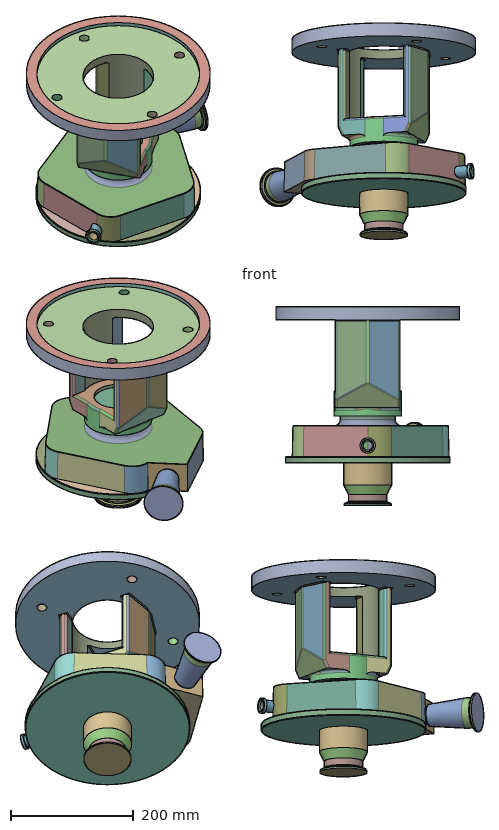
import cadquery as cq
import math

flange_radius = 150.0
flange_top = 324.5
flange_thickness = 21.5
recess_radius = 132.5
recess_depth = 6.5
bore_radius = 57.5
bolt_hole_radius = 8.0
bolt_offset = 80.5

yoke_half_width = 53.0
yoke_half_depth = 75.0
ridge_half_width = 2.5
leg_slant = 15.0
window_half_depth = 49.2
window_bottom = 188.0
yoke_bottom = 160.0
yoke_bottom_half_depth = 55.5
slope_top = 199.0
edge_radius = 3.8
weld_height = 2.0
weld_angle = 45.0

hub_radius = 55.3
hub_bottom = 146.0
hub_cove = 4.5
hub_bore_radius = 39.5
hub_bore_depth = 5.5
neck_radius = 45.0
neck_cove = 10.0

housing_top = 130.5
housing_bottom = 80.0
housing_inradius = 114.8
housing_corner_radius = 33.0
housing_sides = 5
first_corner_angle = 135.0
housing_draft = 1.0
housing_edge_break = 0.8
apex_x = -6.0
base_radius = 134.5
base_bottom = 69.5
base_edge_break = 1.0

suction_radius = 39.5
suction_cone_top = 33.7
suction_cone_bottom = 18.0
suction_end_radius = 31.5
suction_ferrule_radius = 38.5

nozzle_angle = 45.0
nozzle_root = 110.0
nozzle_offset = 91.0
nozzle_height = 104.0
nozzle_inlet_radius = 18.0
nozzle_radius = 25.0
nozzle_ferrule_radius = 32.0
nozzle_cone_start = 118.0
nozzle_throat_radius = 15.0
nozzle_throat_end = 115.0
nozzle_cone_end = 180.7
nozzle_end = 200.5

rim_thickness = 4.0
rim_step = 1.5
ferrule_height = 7.2

port_height = 98.0
port_radius = 10.0
port_bore_radius = 7.5
port_mouth_chamfer = 2.3
port_tip_radius = 12.5
port_tip_length = 5.0
port_end = 150.5

margin = 0.5
corner_reach = 3.8

flange_bottom = flange_top - flange_thickness


def cylinder(radius, bottom, top):
    return cq.Workplane("XY").workplane(offset=bottom).circle(radius).extrude(top - bottom)


def revolve_about_z(profile):
    return profile.close().revolve(360, (0, 0, 0), (0, 1, 0))


def make_flange():
    flange = cylinder(flange_radius, flange_bottom, flange_top)
    flange = flange.cut(cylinder(recess_radius, flange_top - recess_depth, flange_top))
    bolt_holes = (
        cq.Workplane("XY")
        .workplane(offset=flange_bottom)
        .rect(2 * bolt_offset, 2 * bolt_offset, forConstruction=True)
        .vertices()
        .circle(bolt_hole_radius)
        .extrude(flange_thickness)
    )
    return flange.cut(bolt_holes)


def leg_side_depth():
    run = yoke_half_width - ridge_half_width
    return yoke_half_depth - run * math.tan(math.radians(leg_slant))


def yoke_plan(bottom):
    side_depth = leg_side_depth()
    return (
        cq.Workplane("XY")
        .workplane(offset=bottom)
        .moveTo(-yoke_half_width, -side_depth)
        .lineTo(-ridge_half_width, -yoke_half_depth)
        .lineTo(ridge_half_width, -yoke_half_depth)
        .lineTo(yoke_half_width, -side_depth)
        .lineTo(yoke_half_width, side_depth)
        .lineTo(ridge_half_width, yoke_half_depth)
        .lineTo(-ridge_half_width, yoke_half_depth)
        .lineTo(-yoke_half_width, side_depth)
        .close()
    )


def box_selector(half_x, half_y, bottom, top):
    """Select edges centred inside a box about the main axis."""
    return cq.selectors.BoxSelector((-half_x, -half_y, bottom), (half_x, half_y, top))


def make_yoke():
    side_profile = (
        cq.Workplane("YZ")
        .moveTo(-yoke_bottom_half_depth, yoke_bottom)
        .lineTo(yoke_bottom_half_depth, yoke_bottom)
        .lineTo(yoke_half_depth, slope_top)
        .lineTo(yoke_half_depth, flange_bottom)
        .lineTo(-yoke_half_depth, flange_bottom)
        .lineTo(-yoke_half_depth, slope_top)
        .close()
        .extrude(yoke_half_width, both=True)
    )
    yoke = yoke_plan(yoke_bottom).extrude(flange_bottom - yoke_bottom).intersect(side_profile)

    between_ends = box_selector(
        2 * yoke_half_width, 2 * yoke_half_depth, yoke_bottom + margin, flange_bottom - margin
    )
    creases = yoke.faces("#X and (not |Y) and (not |Z)").edges(between_ends)
    yoke = yoke.faces("<X or >X").edges(between_ends).add(creases).fillet(edge_radius)

    window = (
        cq.Workplane("XY")
        .workplane(offset=window_bottom)
        .rect(2 * yoke_half_width, 2 * window_half_depth)
        .extrude(flange_bottom - window_bottom)
    )
    window_rim = box_selector(
        2 * yoke_half_width, window_half_depth + margin, window_bottom - margin, flange_bottom - margin
    )
    return yoke.cut(window).faces("<X or >X").edges(window_rim).fillet(edge_radius)


def make_leg_welds():
    """Bevelled weld around the leg tops, flush with the yoke's outer block."""
    weld_bottom = flange_bottom - weld_height
    flared_plan = yoke_plan(weld_bottom).extrude(weld_height, taper=-weld_angle)
    block = cq.Workplane("XY").box(2 * yoke_half_width, 2 * yoke_half_depth, 2 * flange_top)
    window = (
        cq.Workplane("XY")
        .workplane(offset=weld_bottom)
        .rect(4 * yoke_half_width, 2 * window_half_depth)
        .extrude(weld_height, taper=weld_angle)
    )
    return flared_plan.intersect(block).cut(window)


def make_hub():
    return cylinder(hub_radius, hub_bottom, window_bottom).faces(">Z").edges().fillet(edge_radius)


def make_bracket():
    bracket = make_yoke().union(make_hub())
    hub_joint = box_selector(hub_radius, hub_radius, yoke_bottom - margin, yoke_bottom + margin)
    return bracket.edges("%CIRCLE").edges(hub_joint).fillet(hub_cove)


def make_neck():
    return revolve_about_z(
        cq.Workplane("XZ")
        .moveTo(0, housing_top)
        .lineTo(neck_radius + neck_cove, housing_top)
        .radiusArc((neck_radius, housing_top + neck_cove), neck_cove)
        .lineTo(neck_radius, hub_bottom)
        .lineTo(0, hub_bottom)
    )


def make_housing():
    corner_distance = housing_inradius / math.cos(math.pi / housing_sides)
    corners = []
    for index in range(housing_sides):
        angle = math.radians(first_corner_angle + 360 / housing_sides * index)
        corners.append((corner_distance * math.cos(angle), corner_distance * math.sin(angle)))

    face_sum = housing_inradius * math.sqrt(2)
    side_normal = math.radians(first_corner_angle - 180 / housing_sides)
    inner_y = (housing_inradius - face_sum * math.cos(side_normal)) / (
        math.sin(side_normal) - math.cos(side_normal)
    )
    inner_corner = (face_sum - inner_y, inner_y)
    apex = (apex_x, face_sum - apex_x)

    housing = (
        cq.Workplane("XY")
        .workplane(offset=housing_bottom)
        .polyline(corners + [inner_corner, apex])
        .close()
        .extrude(housing_top - housing_bottom, taper=housing_draft)
    )
    for x, y in corners:
        near_corner = cq.selectors.BoxSelector(
            (x - corner_reach, y - corner_reach, housing_bottom + margin),
            (x + corner_reach, y + corner_reach, housing_top - margin),
        )
        housing = housing.edges(near_corner).fillet(housing_corner_radius)
    return housing.faces(">Z").edges().chamfer(housing_edge_break)


def make_base_plate():
    plate = cylinder(base_radius, base_bottom, housing_bottom)
    return plate.faces("<Z or >Z").edges().chamfer(base_edge_break)


def ferrule(profile, pipe_radius, rim_radius, end, inward):
    """Continue a pipe outline from the pipe wall to the ferrule end on the axis."""
    return (
        profile.lineTo(pipe_radius, end + inward * ferrule_height)
        .lineTo(pipe_radius + rim_step, end + inward * (rim_thickness + rim_step))
        .lineTo(rim_radius - rim_step, end + inward * rim_thickness)
        .lineTo(rim_radius, end + inward * (rim_thickness - rim_step))
        .lineTo(rim_radius, end)
        .lineTo(0, end)
    )


def make_suction_pipe():
    wall = (
        cq.Workplane("XZ")
        .moveTo(0, base_bottom)
        .lineTo(suction_radius, base_bottom)
        .lineTo(suction_radius, suction_cone_top)
        .lineTo(suction_end_radius, suction_cone_bottom)
    )
    return revolve_about_z(ferrule(wall, suction_end_radius, suction_ferrule_radius, 0, 1))


def make_nozzle():
    wall = (
        cq.Workplane("XZ")
        .moveTo(0, nozzle_root)
        .lineTo(nozzle_throat_radius, nozzle_root)
        .lineTo(nozzle_throat_radius, nozzle_throat_end)
        .lineTo(nozzle_inlet_radius, nozzle_cone_start)
        .lineTo(nozzle_radius, nozzle_cone_end)
    )
    nozzle = revolve_about_z(ferrule(wall, nozzle_radius, nozzle_ferrule_radius, nozzle_end, -1))
    return (
        nozzle.rotate((0, 0, 0), (0, 1, 0), 90)
        .translate((0, nozzle_offset, nozzle_height))
        .rotate((0, 0, 0), (0, 0, 1), nozzle_angle)
    )


def port_cylinder(radius, start, end):
    plane = cq.Plane(origin=(0, -start, port_height), xDir=(1, 0, 0), normal=(0, -1, 0))
    return cq.Workplane(plane).circle(radius).extrude(end - start)


def make_port():
    tube = port_cylinder(port_radius, housing_inradius, port_end)
    tip = port_cylinder(port_tip_radius, port_end - port_tip_length, port_end)
    bore = port_cylinder(port_bore_radius, housing_inradius, port_end)
    port = tube.union(tip).cut(bore)
    mouth = port.faces("<Y").edges(cq.selectors.RadiusNthSelector(0))
    return mouth.chamfer(port_mouth_chamfer)


result = (
    make_flange()
    .union(make_bracket())
    .union(make_leg_welds())
    .cut(cylinder(bore_radius, window_bottom, flange_top))
    .cut(cylinder(hub_bore_radius, window_bottom - hub_bore_depth, window_bottom))
    .union(make_neck())
    .union(make_housing())
    .union(make_base_plate())
    .union(make_suction_pipe())
    .union(make_nozzle())
    .union(make_port())
)